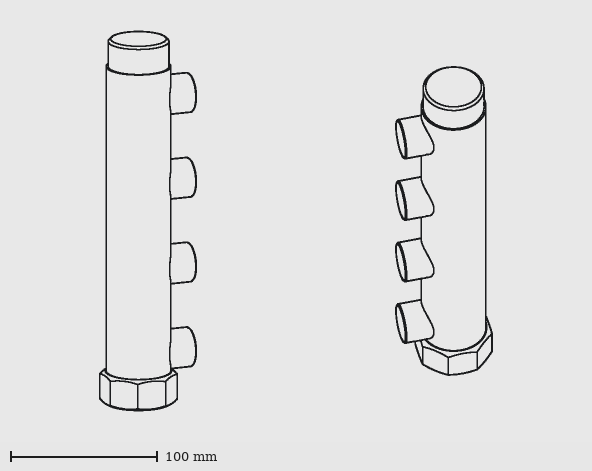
import cadquery as cq
import math

total_height = 257.0
barrel_diameter = 44.2
collar_diameter = 41.6
collar_height = 19.5
collar_chamfer = 1.8

nut_across_flats = 49.0
nut_height = 21.8
nut_sides = 8
nut_face_diameter = 45.2
nut_chamfer_angle = 30.0

outlet_count = 4
outlet_diameter = 27.2
total_depth = 62.0
outlet_reach = total_depth - nut_across_flats / 2
outlet_chamfer = 0.8
lowest_outlet_z = 35.2
outlet_row_length = 180.2
outlet_pitch = outlet_row_length / (outlet_count - 1)


def make_barrel():
    """Solid barrel with a narrower chamfered collar on top."""
    barrel = cq.Workplane("XY").circle(barrel_diameter / 2).extrude(total_height - collar_height)
    collar = cq.Workplane("XY").circle(collar_diameter / 2).extrude(total_height)
    return barrel.union(collar.faces(">Z").chamfer(collar_chamfer))


def make_nut():
    """Octagonal nut with flats square to X and Y, its corners turned to a cone at both ends."""
    half_side_angle = math.pi / nut_sides
    corner_radius = nut_across_flats / 2 / math.cos(half_side_angle)
    prism = (
        cq.Workplane("XY")
        .transformed(rotate=(0, 0, math.degrees(half_side_angle)))
        .polygon(nut_sides, 2 * corner_radius)
        .extrude(nut_height)
    )

    face_radius = nut_face_diameter / 2
    cone_height = (corner_radius - face_radius) * math.tan(math.radians(nut_chamfer_angle))
    turned_blank = (
        cq.Workplane("XZ")
        .moveTo(0, 0)
        .lineTo(face_radius, 0)
        .lineTo(corner_radius, cone_height)
        .lineTo(corner_radius, nut_height - cone_height)
        .lineTo(face_radius, nut_height)
        .lineTo(0, nut_height)
        .close()
        .revolve(360, (0, 0, 0), (0, 1, 0))
    )
    return prism.intersect(turned_blank)


def make_outlet(center_z):
    """Round outlet running from the barrel axis to its chamfered +Y end."""
    outlet = (
        cq.Workplane("XZ", origin=(0, 0, center_z))
        .circle(outlet_diameter / 2)
        .extrude(-outlet_reach)
    )
    return outlet.faces(">Y").chamfer(outlet_chamfer)


result = make_barrel().union(make_nut())
for index in range(outlet_count):
    result = result.union(make_outlet(lowest_outlet_z + index * outlet_pitch))